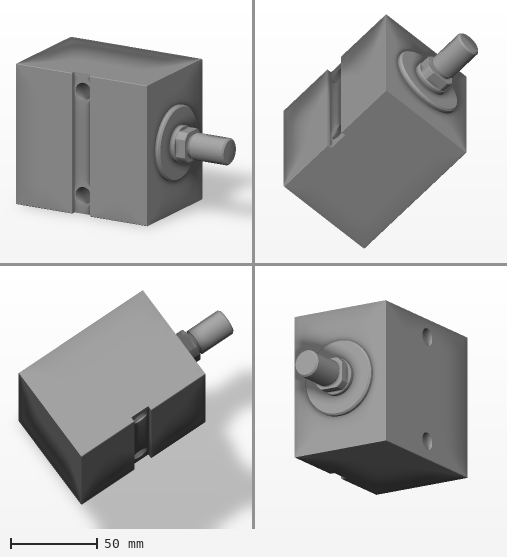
import cadquery as cq

OVERALL_LENGTH = 125.0

HOUSING_LENGTH = 88.0
HOUSING_WIDTH = 63.0
HOUSING_HEIGHT = 85.0
EDGE_CHAMFER = 0.3

SLOT_X = 43.5
SLOT_WIDTH = 12.0
SLOT_DEPTH = 3.0
MOUNT_HOLE_DIAMETER = 10.5
MOUNT_HOLE_SPACING = 63.0

GLAND_DIAMETER = 45.0
GLAND_THICKNESS = 3.0
GLAND_CHAMFER = 1.0

ROD_DIAMETER = 22.0
ROD_SHOULDER = 6.0
ROD_CHAMFER = 0.5

WRENCH_DIAMETER = ROD_DIAMETER - 2 * ROD_CHAMFER
WRENCH_END = 12.2
WRENCH_ACROSS_FLATS = 18.0
WRENCH_CHAMFER = 0.4

STUD_DIAMETER = 16.0
STUD_START = 14.5
STUD_END = OVERALL_LENGTH - HOUSING_LENGTH
STUD_CHAMFER = 1.0
UNDERCUT_DIAMETER = 14.0
UNDERCUT_TAPER = 0.2


def make_housing():
    block = (
        cq.Workplane("XY")
        .box(HOUSING_LENGTH, HOUSING_WIDTH, HOUSING_HEIGHT, centered=(False, True, True))
        .edges("|X")
        .chamfer(EDGE_CHAMFER)
    )
    slot = (
        cq.Workplane("XY", origin=(SLOT_X, -HOUSING_WIDTH / 2, 0))
        .box(SLOT_WIDTH, 2 * SLOT_DEPTH, HOUSING_HEIGHT)
    )
    holes = (
        cq.Workplane("XZ")
        .pushPoints([(SLOT_X, side * MOUNT_HOLE_SPACING / 2) for side in (-1, 1)])
        .circle(MOUNT_HOLE_DIAMETER / 2)
        .extrude(HOUSING_WIDTH, both=True)
    )
    return block.cut(slot).cut(holes)


def make_gland():
    housing_end = cq.Workplane("YZ", origin=(HOUSING_LENGTH, 0, 0))
    disc = (
        housing_end.circle(GLAND_DIAMETER / 2)
        .extrude(GLAND_THICKNESS)
        .faces(">X")
        .edges()
        .chamfer(GLAND_CHAMFER)
    )
    bore = housing_end.circle(ROD_DIAMETER / 2).extrude(GLAND_THICKNESS)
    return disc.cut(bore)


def make_turned_rod():
    rod_radius = ROD_DIAMETER / 2
    wrench_radius = WRENCH_DIAMETER / 2
    stud_radius = STUD_DIAMETER / 2
    undercut_radius = UNDERCUT_DIAMETER / 2
    profile = [
        (0, 0),
        (0, rod_radius),
        (ROD_SHOULDER - ROD_CHAMFER, rod_radius),
        (ROD_SHOULDER, wrench_radius),
        (WRENCH_END - WRENCH_CHAMFER, wrench_radius),
        (WRENCH_END, wrench_radius - WRENCH_CHAMFER),
        (WRENCH_END, stud_radius),
        (WRENCH_END + UNDERCUT_TAPER, undercut_radius),
        (STUD_START - UNDERCUT_TAPER, undercut_radius),
        (STUD_START, stud_radius),
        (STUD_END - STUD_CHAMFER, stud_radius),
        (STUD_END, stud_radius - STUD_CHAMFER),
        (STUD_END, 0),
    ]
    return (
        cq.Workplane("XY", origin=(HOUSING_LENGTH, 0, 0))
        .polyline(profile)
        .close()
        .revolve(360, (0, 0, 0), (1, 0, 0))
    )


def make_rod():
    outside_flats = (
        cq.Workplane("YZ", origin=(HOUSING_LENGTH + ROD_SHOULDER, 0, 0))
        .rect(2 * ROD_DIAMETER, 2 * ROD_DIAMETER)
        .rect(WRENCH_ACROSS_FLATS, WRENCH_ACROSS_FLATS)
        .extrude(WRENCH_END - ROD_SHOULDER)
    )
    return make_turned_rod().cut(outside_flats)


housing = make_housing().solids()
gland = make_gland().solids()
rod = make_rod().solids()

result = cq.Compound.makeCompound([housing.val(), gland.val(), rod.val()])